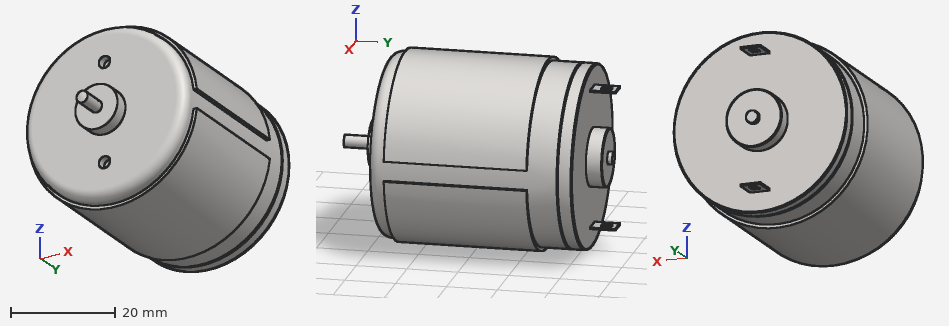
import cadquery as cq
import math

can_diameter = 36.0
can_front_radius = 2.0
cap_rear = 40.1
rear_step_length = 0.25
cap_core_diameter = 35.6
seam_front = 37.05
seam_width = 0.2

sleeve_diameter = 37.45
sleeve_front = 3.25
sleeve_length = 28.05
sleeve_gap = 4.05

front_boss_diameter = 9.3
front_boss_length = 3.05
rear_boss_diameter = 11.5
rear_boss_length = 3.2
rear_boss_chamfer = 0.15

shaft_diameter = 2.5
shaft_front_length = 8.75
shaft_rear_length = 4.15
shaft_cone_height = 0.2

mount_hole_diameter = 2.5
mount_hole_offset = 10.5
mount_hole_depth = 2.0
drill_point_angle = 118

terminal_offset = 13.7
terminal_width = 4.05
terminal_thickness = 0.3
terminal_length = 4.95
terminal_slot_width = 1.5
terminal_slot_length = 2.0
terminal_slot_inset = 1.15

embed = 0.55


def cylinder_y(diameter, start, end):
    """Cylinder on the motor axis from Y = start to Y = end."""
    return cq.Workplane("XZ", origin=(0, start, 0)).circle(diameter / 2).extrude(start - end)


def make_can():
    """Can with a rounded front edge, a shallow seam groove and a small step at the rear."""
    step_start = cap_rear - rear_step_length
    front = cylinder_y(can_diameter, 0, seam_front)
    front = front.faces("<Y").edges().fillet(can_front_radius)
    cap = cylinder_y(can_diameter, seam_front + seam_width, step_start)
    core = cylinder_y(cap_core_diameter, seam_front - embed, cap_rear)
    return front.union(core).union(cap)


def make_sleeve():
    """Thin wrap around the can, split by a full-length gap on the +X side."""
    sleeve_rear = sleeve_front + sleeve_length
    sleeve = cylinder_y(sleeve_diameter, sleeve_front, sleeve_rear)
    sleeve = sleeve.cut(cylinder_y(can_diameter, sleeve_front, sleeve_rear))
    gap = cq.Workplane("XY").box(
        sleeve_diameter, sleeve_length, sleeve_gap, centered=(False, False, True)
    )
    return sleeve.cut(gap.translate((0, sleeve_front, 0)))


def make_bosses():
    front = cylinder_y(front_boss_diameter, -front_boss_length, embed)
    rear = cylinder_y(rear_boss_diameter, cap_rear - embed, cap_rear + rear_boss_length)
    return front.union(rear.faces(">Y").edges().chamfer(rear_boss_chamfer))


def make_shaft():
    """Through shaft whose front end is a shallow cone."""
    radius = shaft_diameter / 2
    rear = cap_rear + shaft_rear_length
    cone_base = shaft_cone_height - shaft_front_length
    profile = cq.Workplane("XY").polyline(
        [(0, -shaft_front_length), (radius, cone_base), (radius, rear), (0, rear)]
    ).close()
    return profile.revolve(360, (0, 0, 0), (0, 1, 0))


def make_mount_hole(height):
    """Blind drilled hole in the front face, ending in a conical drill point."""
    radius = mount_hole_diameter / 2
    point_depth = radius / math.tan(math.radians(drill_point_angle / 2))
    profile = cq.Workplane("XY").polyline(
        [(0, 0), (radius, 0), (radius, mount_hole_depth), (0, mount_hole_depth + point_depth)]
    ).close()
    hole = profile.revolve(360, (0, 0, 0), (0, 1, 0))
    return hole.translate((0, 0, height))


def make_terminal(height):
    """Flat slotted tab standing out of the rear face at the given Z."""
    total_length = terminal_length + embed
    tip = cap_rear + terminal_length
    tab = cq.Workplane("XY").box(terminal_width, total_length, terminal_thickness)
    tab = tab.translate((0, tip - total_length / 2, height))
    slot = cq.Workplane("XY").box(terminal_slot_width, terminal_slot_length, 2 * terminal_thickness)
    slot_center = tip - terminal_slot_inset - terminal_slot_length / 2
    return tab.cut(slot.translate((0, slot_center, height)))


result = make_can().union(make_sleeve()).union(make_bosses()).union(make_shaft())
for side in (-1, 1):
    result = result.cut(make_mount_hole(side * mount_hole_offset))
    result = result.union(make_terminal(side * terminal_offset))